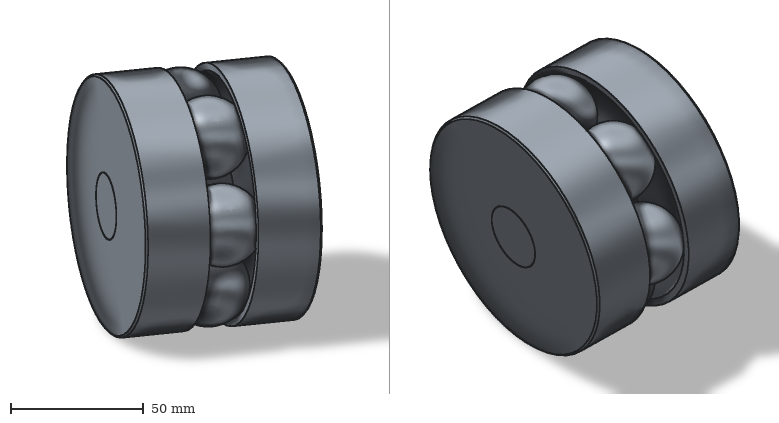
import cadquery as cq
import math

race_diameter = 100.0
total_width = 69.8
race_gap = 19.0
race_thickness = (total_width - race_gap) / 2
rim_chamfer = 0.8

shank_diameter = 7.9
shank_hole_diameter = 8.2
head_diameter = 25.4
head_recess_diameter = 25.7
head_thickness = 6.4

ball_count = 6
ball_diameter = 31.6
pitch_radius = 34.0
groove_radius = 16.2


def cylinder_on_y(diameter, start_y, length):
    """Solid cylinder about the Y axis, from start_y towards +Y."""
    plane = cq.Workplane("XZ", origin=(0, start_y, 0))
    return plane.circle(diameter / 2).extrude(-length)


def make_front_race():
    """Disc on the -Y side with a chamfered rim, a stepped bore for the rivet and a ball track."""
    disc = cylinder_on_y(race_diameter, -total_width / 2, race_thickness)
    disc = disc.faces("<Y").edges().chamfer(rim_chamfer)
    shank_hole = cylinder_on_y(shank_hole_diameter, -total_width / 2, race_thickness)
    head_recess = cylinder_on_y(head_recess_diameter, -total_width / 2, head_thickness)
    track = cq.Workplane("XY").add(
        cq.Solid.makeTorus(pitch_radius, groove_radius, cq.Vector(0, 0, 0), cq.Vector(0, 1, 0))
    )
    return disc.cut(shank_hole).cut(head_recess).cut(track)


def make_rivet():
    """Slim shank with a wide head at each end, flush with the outer faces of the races."""
    shank = cylinder_on_y(shank_diameter, -total_width / 2, total_width)
    front_head = cylinder_on_y(head_diameter, -total_width / 2, head_thickness)
    back_head = front_head.mirror("XZ")
    return shank.union(front_head).union(back_head)


def make_ball(index):
    """One ball on the pitch circle, counted from the +X axis."""
    angle = 2 * math.pi * index / ball_count
    center = (pitch_radius * math.cos(angle), 0, pitch_radius * math.sin(angle))
    return cq.Workplane("XY").sphere(ball_diameter / 2).translate(center)


front_race = make_front_race()
back_race = front_race.mirror("XZ")
rivet = make_rivet()
balls = [make_ball(index) for index in range(ball_count)]

result = cq.Compound.makeCompound(
    [front_race.val(), back_race.val(), rivet.val(), *[ball.val() for ball in balls]]
)